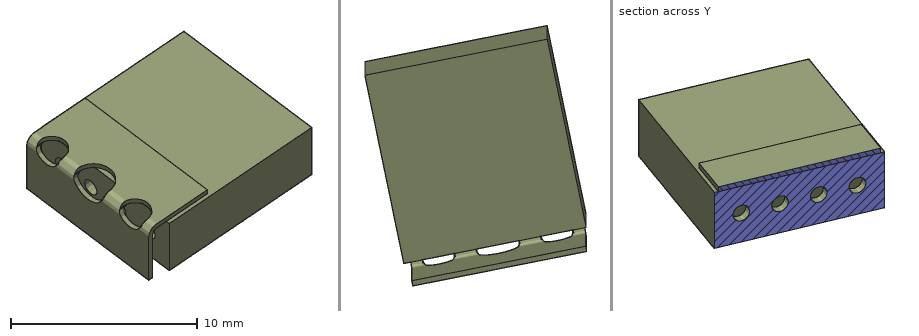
import cadquery as cq

block_width = 10.0
block_length = 10.55
block_height = 3.6

pin_hole_diameter = 0.95
pin_hole_depth = 0.95
pin_hole_count = 4
pin_hole_spacing = 2.28
pin_hole_height = 1.86

overall_length = 11.85
bracket_width = 9.54
sheet_thickness = 0.3
top_flange_length = 4.34
bend_outer_radius = 0.59

side_window_diameter = 1.8
centre_window_diameter = 2.39
window_spacing = 3.25
window_centre_inset = 0.43

bracket_height = block_height + sheet_thickness
bracket_front = block_length - overall_length
flange_inner_face = bracket_front + sheet_thickness
top_flange_end = bracket_front + top_flange_length
bend_inner_radius = bend_outer_radius - sheet_thickness


def make_block():
    """Rectangular housing, front face on Y = 0, bottom on Z = 0."""
    block = cq.Workplane("XY").box(block_width, block_length, block_height, centered=(True, False, False))
    for index in range(pin_hole_count):
        x = (index - (pin_hole_count - 1) / 2) * pin_hole_spacing
        hole = (
            cq.Workplane("XZ", origin=(x, 0, pin_hole_height))
            .circle(pin_hole_diameter / 2)
            .extrude(-pin_hole_depth)
        )
        block = block.cut(hole)
    return block


def make_bent_sheet():
    """L-shaped sheet: a flange on top of the block, bent down in front of it."""
    sheet = (
        cq.Workplane("YZ", origin=(-bracket_width / 2, 0, 0))
        .moveTo(bracket_front, 0)
        .lineTo(bracket_front, bracket_height - bend_outer_radius)
        .radiusArc((bracket_front + bend_outer_radius, bracket_height), bend_outer_radius)
        .lineTo(top_flange_end, bracket_height)
        .lineTo(top_flange_end, block_height)
        .lineTo(flange_inner_face + bend_inner_radius, block_height)
        .radiusArc((flange_inner_face, block_height - bend_inner_radius), -bend_inner_radius)
        .lineTo(flange_inner_face, 0)
        .close()
        .extrude(bracket_width)
    )
    return sheet


def make_window(x, diameter):
    """Cutter for one window: an upright bore through the top sheet, a level bore below it."""
    radius = diameter / 2
    upright_bore = (
        cq.Workplane("XY", origin=(x, bracket_front + window_centre_inset, block_height))
        .circle(radius)
        .extrude(sheet_thickness)
    )
    level_bore = (
        cq.Workplane("XZ", origin=(x, bracket_front, bracket_height))
        .circle(radius)
        .extrude(-bend_outer_radius)
    )
    below_top_sheet = (
        cq.Workplane("XY", origin=(x, bracket_front, 0))
        .box(diameter, bend_outer_radius, block_height, centered=(True, False, False))
    )
    return upright_bore.union(level_bore.intersect(below_top_sheet))


def make_bracket():
    """Bent sheet with a large window in the middle and a smaller one on each side."""
    bracket = make_bent_sheet().cut(make_window(0, centre_window_diameter))
    for x in (-window_spacing, window_spacing):
        bracket = bracket.cut(make_window(x, side_window_diameter))
    return bracket


block = make_block()
bracket = make_bracket()
result = cq.Compound.makeCompound([block.solids().val(), bracket.solids().val()])